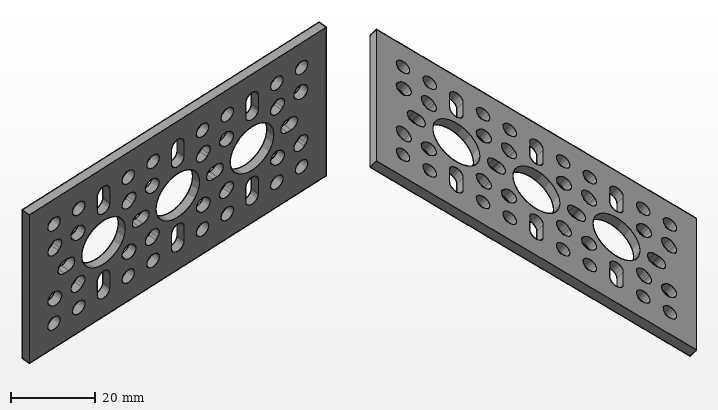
import cadquery as cq
import math

length = 96.0
height = length / 2
thickness = 2.5

pitch = length / 12
hole_diameter = pitch / 2
bore_diameter = 14.0
bore_spacing = 3 * pitch
bore_positions = [-bore_spacing, 0, bore_spacing]

group_positions = [side * bore_spacing / 2 for side in (-3, -1, 1, 3)]
row_height = 2 * pitch

inner_circle_radius = math.sqrt(2) * pitch
outer_circle_radius = bore_spacing / 2
half_travel = outer_circle_radius - inner_circle_radius
diagonal_step = half_travel / math.sqrt(2)


def round_cutter(diameter, y, z):
    """Cylinder along X through the whole plate."""
    return cq.Workplane("YZ").center(y, z).circle(diameter / 2).extrude(thickness / 2, both=True)


def slot_cutter(start, end):
    """Round-ended slot through the plate, given its two end centres as (y, z)."""
    run = end[0] - start[0]
    rise = end[1] - start[1]
    middle_y = (start[0] + end[0]) / 2
    middle_z = (start[1] + end[1]) / 2
    overall_length = math.hypot(run, rise) + hole_diameter
    angle = math.degrees(math.atan2(rise, run))
    return (
        cq.Workplane("YZ")
        .center(middle_y, middle_z)
        .slot2D(overall_length, hole_diameter, angle)
        .extrude(thickness / 2, both=True)
    )


plate = cq.Workplane("YZ").rect(length, height).extrude(thickness / 2, both=True)

for bore_y in bore_positions:
    plate = plate.cut(round_cutter(bore_diameter, bore_y, 0))
    for up in (-1, 1):
        plate = plate.cut(slot_cutter((bore_y, up * inner_circle_radius), (bore_y, up * row_height)))

for group_y in group_positions:
    plate = plate.cut(slot_cutter((group_y - half_travel, 0), (group_y + half_travel, 0)))

    for side in (-1, 1):
        column_y = group_y + side * pitch / 2
        for up in (-1, 1):
            plate = plate.cut(round_cutter(hole_diameter, column_y, up * row_height))

            grid_end = (column_y, up * pitch)
            leaning_end = (column_y - side * diagonal_step, up * (pitch + diagonal_step))
            plate = plate.cut(slot_cutter(grid_end, leaning_end))

result = plate